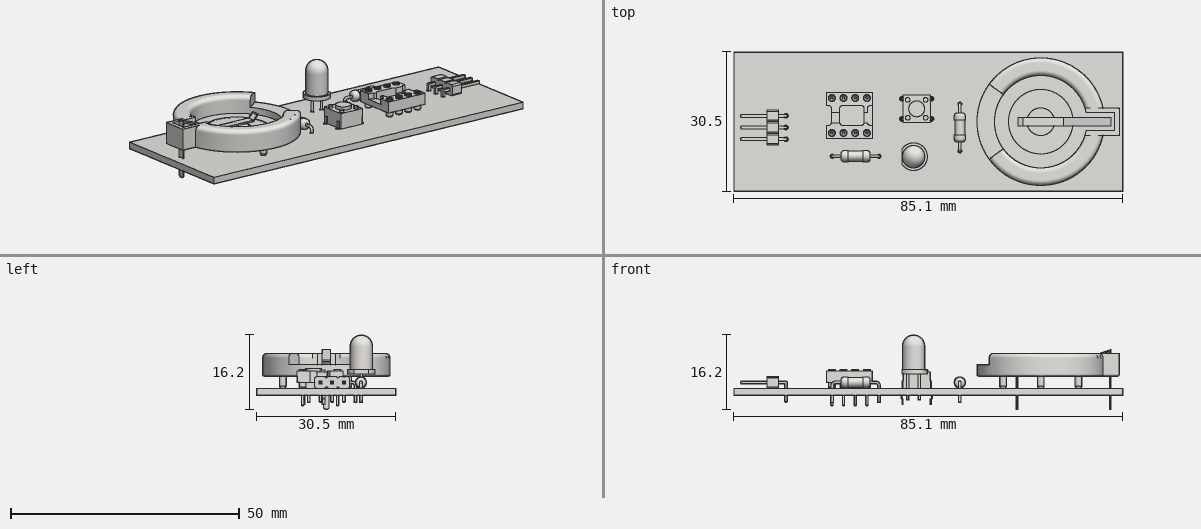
import cadquery as cq
import math

PITCH = 2.55
EPS = 0.01

BOARD_LENGTH = 85.1
BOARD_WIDTH = 30.5
BOARD_THICKNESS = 1.5
WIRE_HOLE_DIA = 0.8
HEADER_HOLE_DIA = 0.9
SWITCH_HOLE_DIA = 0.9

HEADER_X = 8.5
HEADER_Y = -1.3
HEADER_PINS = 3
HEADER_BLOCK = PITCH
HEADER_CHAMFER = 0.3
HEADER_PIN = 0.64
HEADER_TIP_X = 1.45
HEADER_BEND_X = 11.4
HEADER_TIP_CHAMFER = 0.2
LEAD_BOTTOM = -3.1

SOCKET_X = 25.3
SOCKET_Y = 1.4
SOCKET_SIDE = 10.0
SOCKET_BOTTOM = 1.3
SOCKET_TOP = 3.8
SOCKET_ROW_SPACING = 7.7
SOCKET_PINS_PER_ROW = 4
SOCKET_NOTCH_DEPTH = 1.1
SOCKET_NOTCH_WIDTH = 4.3
SOCKET_CORNER = 0.7
SOCKET_WINDOW_START = 2.9
SOCKET_WINDOW_LENGTH = 5.4
SOCKET_RECESS_Z = 2.55
SOCKET_RECESS_LOW = -1.7
SOCKET_RECESS_HIGH = 0.7
SLEEVE_DIA = 1.5
SLEEVE_TOP = 4.1
SLEEVE_FOOT_CHAMFER = 0.25
SLEEVE_MOUTH_DIA = 1.4
SLEEVE_MOUTH_DEPTH = 0.85
SLEEVE_BORE_DIA = 0.5
SLEEVE_BORE_DEPTH = 2.1
SOCKET_PIN_DIA = 0.5
SOCKET_PIN_BOTTOM = -3.8
SOCKET_PIN_CHAMFER = 0.13

SWITCH_X = 40.0
SWITCH_Y = 2.8
SWITCH_SIDE = 5.95
SWITCH_HEIGHT = 3.6
PLUNGER_DIA = 3.5
PLUNGER_TOP = 4.3
KNOB_DIA = 1.0
KNOB_TOP = 4.0
KNOB_OFFSET = 1.95
SWITCH_LEG_SPAN_X = 6.5
SWITCH_LEG_SPAN_Y = 4.4
SWITCH_LEG_WIDTH = 0.7
SWITCH_LEG_THICKNESS = 0.25
SWITCH_LEG_TOP = 1.6
SWITCH_KINK_TOP = -1.5
SWITCH_KINK_Z = -1.95
SWITCH_KINK_BOTTOM = -2.4
SWITCH_KINK_DEPTH = 0.25
SWITCH_LEG_BOTTOM = -3.5

LED_X = 39.3
LED_Y = -7.7
LED_DIA = 4.9
LED_TOP = 11.65
LED_BASE = 3.15
LED_FLANGE_DIA = 6.0
LED_FLANGE_TOP = 4.1
LED_FLAT = 2.55
LED_LEG_DIA = 0.5
LED_LEG_BOTTOM = -2.55

RESISTOR_PLACES = [(26.6, -7.6, 0), (49.4, -1.3, 90)]
RESISTOR_AXIS_Z = 1.3
RESISTOR_LENGTH = 6.4
RESISTOR_BARREL_DIA = 2.2
RESISTOR_CAP_DIA = 2.5
RESISTOR_CAP_LENGTH = 1.5
RESISTOR_CAP_ROUND = 0.7
RESISTOR_WIRE_DIA = 0.6
RESISTOR_LEAD_SPAN = 10.2
RESISTOR_BEND = 0.7

HOLDER_X = 67.1
HOLDER_BOTTOM = 2.6
HOLDER_FLOOR = 3.7
HOLDER_TOP = 7.7
HOLDER_LIP = 5.2
HOLDER_OUTER_RADIUS = 13.95
HOLDER_INNER_RADIUS = 10.1
HOLDER_RIM_ROUND = 1.0
HOLDER_FOOT_ROUND = 0.4
LIP_HALF_ANGLE = 36.0
TAB_END_X = 84.3
TAB_WIDTH = 5.95
TAB_WALL = 1.0
PEG_DIA = 1.5
PEG_TIP_DIA = 1.1
PEG_TIP_LENGTH = 0.5
PEG_CIRCLE_RADIUS = 9.5
PEG_ANGLES = [90, 210, 330]
FLOOR_DISC_DIA = 14.1
FLOOR_PAD_DIA = 6.0
FLOOR_STEP = 0.2
SPRING_WIDTH = 1.9
SPRING_THICKNESS = 0.3
SPRING_TOP = 8.5
SPRING_FLAT_Z = 4.9
SPRING_TIP_X = 62.1
SPRING_TIP_RISE = 1.3
SPRING_HEEL_X = 63.3
SPRING_BEND_X = 72.15
CONTACT_LEG_X = [61.95, 82.4]
CONTACT_LEG_WIDTH = 1.3
CONTACT_LEG_THICKNESS = 0.3
CONTACT_LEG_BOTTOM = -4.6
CONTACT_LEG_CHAMFER = 0.3


def box(x0, x1, y0, y1, z0, z1):
    return cq.Workplane("XY").box(x1 - x0, y1 - y0, z1 - z0, centered=False).translate((x0, y0, z0))


def rod(x, y, z0, z1, diameter):
    return cq.Workplane("XY").circle(diameter / 2).extrude(z1 - z0).translate((x, y, z0))


def cone(x, y, z0, z1, bottom_diameter, top_diameter):
    solid = cq.Solid.makeCone(bottom_diameter / 2, top_diameter / 2, z1 - z0)
    return cq.Workplane("XY").add(solid).translate((x, y, z0))


def extrude_across_y(points, width):
    """Closed outline of (x, z) points, extruded evenly to both sides of y = 0."""
    return cq.Workplane("XZ").polyline(points).close().extrude(width / 2, both=True)


header_pin_ys = [HEADER_Y + (i - (HEADER_PINS - 1) / 2) * PITCH for i in range(HEADER_PINS)]
socket_pin_places = [
    (SOCKET_X + (i - (SOCKET_PINS_PER_ROW - 1) / 2) * PITCH, SOCKET_Y + side * SOCKET_ROW_SPACING / 2)
    for i in range(SOCKET_PINS_PER_ROW)
    for side in (-1, 1)
]
led_leg_places = [(LED_X + side * PITCH / 2, LED_Y) for side in (-1, 1)]
switch_hole_places = [
    (SWITCH_X + side_x * SWITCH_LEG_SPAN_X / 2, SWITCH_Y + side_y * SWITCH_LEG_SPAN_Y / 2)
    for side_x in (-1, 1)
    for side_y in (-1, 1)
]
resistor_lead_places = [
    (
        x + side * RESISTOR_LEAD_SPAN / 2 * math.cos(math.radians(turn)),
        y + side * RESISTOR_LEAD_SPAN / 2 * math.sin(math.radians(turn)),
    )
    for x, y, turn in RESISTOR_PLACES
    for side in (-1, 1)
]


def make_board():
    board = box(0, BOARD_LENGTH, -BOARD_WIDTH / 2, BOARD_WIDTH / 2, -BOARD_THICKNESS, 0)
    for y in header_pin_ys:
        board = board.cut(rod(HEADER_BEND_X, y, -BOARD_THICKNESS, 0, HEADER_HOLE_DIA))
    for x, y in socket_pin_places + led_leg_places + resistor_lead_places:
        board = board.cut(rod(x, y, -BOARD_THICKNESS, 0, WIRE_HOLE_DIA))
    for x, y in switch_hole_places:
        board = board.cut(rod(x, y, -BOARD_THICKNESS, 0, SWITCH_HOLE_DIA))
    for x in CONTACT_LEG_X:
        board = board.cut(make_contact_leg(x, 0))
    return board


def make_header():
    middle_z = HEADER_BLOCK / 2
    half_pin = HEADER_PIN / 2
    header = None
    for y in header_pin_ys:
        block = (
            cq.Workplane("XY")
            .box(HEADER_BLOCK, HEADER_BLOCK + EPS, HEADER_BLOCK)
            .edges("|X")
            .chamfer(HEADER_CHAMFER)
            .translate((HEADER_X, y, middle_z))
        )
        straight = box(HEADER_TIP_X, HEADER_BEND_X + half_pin, y - half_pin, y + half_pin,
                       middle_z - half_pin, middle_z + half_pin)
        straight = straight.faces("<X").chamfer(HEADER_TIP_CHAMFER)
        tail = box(HEADER_BEND_X - half_pin, HEADER_BEND_X + half_pin, y - half_pin, y + half_pin,
                   LEAD_BOTTOM, middle_z + half_pin)
        tail = tail.faces("<Z").chamfer(HEADER_TIP_CHAMFER)
        pin = straight.union(tail).edges("|Y and >X and >Z").fillet(half_pin)
        segment = block.union(pin)
        header = segment if header is None else header.union(segment)
    return header


def make_socket():
    half = SOCKET_SIDE / 2
    half_notch = SOCKET_NOTCH_WIDTH / 2
    notch_floor = half - SOCKET_NOTCH_DEPTH
    window_start = SOCKET_WINDOW_START - half
    window_end = window_start + SOCKET_WINDOW_LENGTH

    body = box(-half, half, -half, half, SOCKET_BOTTOM, SOCKET_TOP)
    left_notch = box(-half - SOCKET_NOTCH_DEPTH, -notch_floor, -half_notch, half_notch,
                     SOCKET_BOTTOM, SOCKET_TOP).edges("|Z and >X").fillet(SOCKET_CORNER)
    right_notch = left_notch.mirror("YZ").intersect(
        box(0, SOCKET_SIDE, -half, half, SOCKET_RECESS_Z, SOCKET_TOP)
    )
    window = box(window_start, window_end, -half_notch, half_notch,
                 SOCKET_BOTTOM, SOCKET_TOP).edges("|Z").fillet(SOCKET_CORNER)
    recess = box(-notch_floor - EPS, notch_floor + EPS, SOCKET_RECESS_LOW, SOCKET_RECESS_HIGH,
                 SOCKET_RECESS_Z, SOCKET_TOP)
    body = body.cut(left_notch).cut(right_notch).cut(window).cut(recess)
    body = body.translate((SOCKET_X, SOCKET_Y, 0))

    for x, y in socket_pin_places:
        sleeve = rod(x, y, 0, SLEEVE_TOP, SLEEVE_DIA).faces("<Z").chamfer(SLEEVE_FOOT_CHAMFER)
        pin = rod(x, y, SOCKET_PIN_BOTTOM, EPS, SOCKET_PIN_DIA).faces("<Z").chamfer(SOCKET_PIN_CHAMFER)
        body = body.union(sleeve).union(pin)
        mouth = cone(x, y, SLEEVE_TOP - SLEEVE_MOUTH_DEPTH, SLEEVE_TOP, SLEEVE_BORE_DIA, SLEEVE_MOUTH_DIA)
        bore = rod(x, y, SLEEVE_TOP - SLEEVE_BORE_DEPTH, SLEEVE_TOP, SLEEVE_BORE_DIA)
        body = body.cut(mouth).cut(bore)
    return body


def make_switch_leg():
    """Kinked strip leg of the +X side, with its inner face against the switch body."""
    inner = SWITCH_SIDE / 2 - EPS
    outer = inner + SWITCH_LEG_THICKNESS
    leg = (
        cq.Workplane("XZ")
        .moveTo(inner, SWITCH_LEG_TOP)
        .lineTo(inner, SWITCH_KINK_TOP)
        .threePointArc((inner + SWITCH_KINK_DEPTH, SWITCH_KINK_Z), (inner, SWITCH_KINK_BOTTOM))
        .lineTo(inner, SWITCH_LEG_BOTTOM)
        .lineTo(outer, SWITCH_LEG_BOTTOM)
        .lineTo(outer, SWITCH_KINK_BOTTOM)
        .threePointArc((outer + SWITCH_KINK_DEPTH, SWITCH_KINK_Z), (outer, SWITCH_KINK_TOP))
        .lineTo(outer, SWITCH_LEG_TOP)
        .close()
    )
    return leg.extrude(SWITCH_LEG_WIDTH / 2, both=True)


def make_switch():
    half = SWITCH_SIDE / 2
    switch = box(-half, half, -half, half, 0, SWITCH_HEIGHT)
    switch = switch.union(rod(0, 0, SWITCH_HEIGHT - EPS, PLUNGER_TOP, PLUNGER_DIA))
    right_leg = make_switch_leg()
    left_leg = right_leg.mirror("YZ")
    for side_y in (-1, 1):
        for side_x in (-1, 1):
            switch = switch.union(
                rod(side_x * KNOB_OFFSET, side_y * KNOB_OFFSET, SWITCH_HEIGHT - EPS, KNOB_TOP, KNOB_DIA)
            )
        for leg in (left_leg, right_leg):
            switch = switch.union(leg.translate((0, side_y * SWITCH_LEG_SPAN_Y / 2, 0)))
    return switch.translate((SWITCH_X, SWITCH_Y, 0))


def make_led():
    radius = LED_DIA / 2
    dome_z = LED_TOP - radius
    led = (
        cq.Workplane("XZ")
        .moveTo(0, LED_BASE)
        .lineTo(radius, LED_BASE)
        .lineTo(radius, dome_z)
        .radiusArc((0, LED_TOP), -radius)
        .close()
        .revolve()
        .translate((LED_X, LED_Y, 0))
    )
    flange = rod(LED_X, LED_Y, LED_BASE, LED_FLANGE_TOP, LED_FLANGE_DIA)
    flange = flange.cut(
        box(LED_X - LED_FLANGE_DIA, LED_X - LED_FLAT, LED_Y - LED_FLANGE_DIA, LED_Y + LED_FLANGE_DIA,
            LED_BASE, LED_FLANGE_TOP)
    )
    led = led.union(flange)
    for x, y in led_leg_places:
        led = led.union(rod(x, y, LED_LEG_BOTTOM, LED_BASE + EPS, LED_LEG_DIA))
    return led


def make_resistor(x, y, turn):
    half_length = RESISTOR_LENGTH / 2
    half_span = RESISTOR_LEAD_SPAN / 2
    resistor = cq.Workplane("YZ").circle(RESISTOR_BARREL_DIA / 2).extrude(half_length - EPS, both=True)
    resistor = resistor.edges().chamfer(RESISTOR_CAP_ROUND)
    cap = (
        cq.Workplane("YZ")
        .workplane(offset=half_length)
        .circle(RESISTOR_CAP_DIA / 2)
        .extrude(-RESISTOR_CAP_LENGTH)
        .faces(">X")
        .edges()
        .fillet(RESISTOR_CAP_ROUND)
    )
    lead_path = (
        cq.Workplane("XZ")
        .moveTo(0, 0)
        .lineTo(half_span - RESISTOR_BEND, 0)
        .radiusArc((half_span, -RESISTOR_BEND), RESISTOR_BEND)
        .lineTo(half_span, LEAD_BOTTOM - RESISTOR_AXIS_Z)
    )
    lead = cq.Workplane("YZ").circle(RESISTOR_WIRE_DIA / 2).sweep(lead_path)
    end = cap.union(lead)
    resistor = resistor.union(end).union(end.mirror("YZ"))
    return resistor.rotate((0, 0, 0), (0, 0, 1), turn).translate((x, y, RESISTOR_AXIS_Z))


def make_contact_leg(x, top):
    half_thickness = CONTACT_LEG_THICKNESS / 2
    leg = box(x - half_thickness, x + half_thickness, -CONTACT_LEG_WIDTH / 2, CONTACT_LEG_WIDTH / 2,
              CONTACT_LEG_BOTTOM, top)
    return leg.edges("|X and <Z").chamfer(CONTACT_LEG_CHAMFER)


def make_holder_cup():
    """Round cup with its end tab, channel and lowered lip."""
    height = HOLDER_TOP - HOLDER_BOTTOM
    bowl = rod(HOLDER_X, 0, HOLDER_FLOOR, HOLDER_TOP, 2 * HOLDER_INNER_RADIUS)
    ring = rod(HOLDER_X, 0, HOLDER_BOTTOM, HOLDER_TOP, 2 * HOLDER_OUTER_RADIUS).cut(bowl)
    ring = ring.faces(">Z").edges().fillet(HOLDER_RIM_ROUND)
    tab = box(HOLDER_X, TAB_END_X, -TAB_WIDTH / 2, TAB_WIDTH / 2, HOLDER_BOTTOM, HOLDER_TOP).cut(bowl)
    half_channel = TAB_WIDTH / 2 - TAB_WALL
    channel = box(HOLDER_X, TAB_END_X - TAB_WALL, -half_channel, half_channel, HOLDER_FLOOR, HOLDER_TOP)
    cup = ring.union(tab).cut(channel)
    cup = cup.faces("<Z").edges().fillet(HOLDER_FOOT_ROUND)

    reach = 2 * HOLDER_OUTER_RADIUS
    spread = reach * math.tan(math.radians(LIP_HALF_ANGLE))
    lip_gap = (
        cq.Workplane("XY", origin=(HOLDER_X, 0, HOLDER_LIP))
        .polyline([(0, 0), (-reach, spread), (-reach, -spread)])
        .close()
        .extrude(height)
    )
    return cup.cut(lip_gap)


def make_spring():
    """Bent strip: upturned tip, level stretch, then a ramp up to the outer contact leg."""
    upper_edge = [
        (SPRING_TIP_X, SPRING_FLAT_Z + SPRING_TIP_RISE),
        (SPRING_HEEL_X, SPRING_FLAT_Z),
        (SPRING_BEND_X, SPRING_FLAT_Z),
        (CONTACT_LEG_X[1] + CONTACT_LEG_THICKNESS / 2, SPRING_TOP),
    ]
    lower_edge = [(x, z - SPRING_THICKNESS) for x, z in reversed(upper_edge)]
    return extrude_across_y(upper_edge + lower_edge, SPRING_WIDTH)


def make_holder():
    holder = make_holder_cup()
    disc_top = HOLDER_FLOOR + FLOOR_STEP
    holder = holder.union(rod(HOLDER_X, 0, HOLDER_BOTTOM + FLOOR_STEP, disc_top, FLOOR_DISC_DIA))
    holder = holder.union(rod(HOLDER_X, 0, HOLDER_FLOOR, disc_top + FLOOR_STEP, FLOOR_PAD_DIA))
    for angle in PEG_ANGLES:
        x = HOLDER_X + PEG_CIRCLE_RADIUS * math.cos(math.radians(angle))
        y = PEG_CIRCLE_RADIUS * math.sin(math.radians(angle))
        tip = cone(x, y, 0, PEG_TIP_LENGTH, PEG_TIP_DIA, PEG_DIA)
        holder = holder.union(rod(x, y, PEG_TIP_LENGTH, HOLDER_BOTTOM + EPS, PEG_DIA)).union(tip)
    inner_leg = make_contact_leg(CONTACT_LEG_X[0], HOLDER_BOTTOM + EPS)
    outer_leg = make_contact_leg(CONTACT_LEG_X[1], SPRING_TOP - SPRING_THICKNESS)
    return holder.union(inner_leg).union(outer_leg).union(make_spring())


board = make_board()
header = make_header()
socket = make_socket()
switch = make_switch()
led = make_led()
resistors = [make_resistor(x, y, turn) for x, y, turn in RESISTOR_PLACES]
holder = make_holder()

result = cq.Compound.makeCompound(
    [
        board.val(),
        header.val(),
        socket.val(),
        switch.val(),
        led.val(),
        *[resistor.val() for resistor in resistors],
        holder.val(),
    ]
)